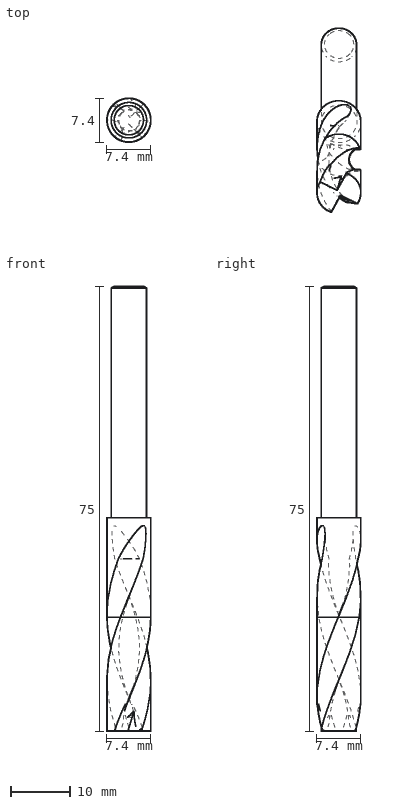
import cadquery as cq
import math

TOTAL_LENGTH = 75.0
TOOL_DIAMETER = 7.4
SHANK_DIAMETER = 6.0
SHOULDER_HEIGHT = 36.0
JOINT_HEIGHT = 19.2
CHAMFER_HEIGHT = 0.3
CHAMFER_WIDTH = 0.5

FLUTE_COUNT = 2
FLUTE_START_ANGLE = -90.0
FLUTE_PITCH = 56.25
FLUTE_RADIUS = 2.3
FLUTE_CENTRE_DISTANCE = 4.05
FLUTE_TOP = 29.1
RUNOUT_TOP = 34.65
RUNOUT_SECTIONS = 5

GASH_HEIGHT = 4.5
GASH_SLOPE = 0.42
GASH_ANGLE = 45.0
GASH_CORNER = (-0.15, -0.5)
GASH_LENGTH = 6.0

TOOL_RADIUS = TOOL_DIAMETER / 2
TURN = 360.0


def flute_angle(height):
    """Direction of the first flute at the given height, degrees."""
    return FLUTE_START_ANGLE + TURN * height / FLUTE_PITCH


def polar(distance, angle):
    """Plan position at a distance and direction from the tool axis."""
    return distance * math.cos(math.radians(angle)), distance * math.sin(math.radians(angle))


def helical_cutter():
    """Constant-depth flute: a circle twisted about the tool axis."""
    return (
        cq.Workplane("XY")
        .moveTo(*polar(FLUTE_CENTRE_DISTANCE, FLUTE_START_ANGLE))
        .circle(FLUTE_RADIUS)
        .twistExtrude(FLUTE_TOP, TURN * FLUTE_TOP / FLUTE_PITCH)
    )


def runout_cutter():
    """Continuation of the flute that follows the helix while moving out of the tool."""
    end_distance = TOOL_RADIUS + FLUTE_RADIUS
    sections = []
    for index in range(RUNOUT_SECTIONS):
        fraction = index / (RUNOUT_SECTIONS - 1)
        height = FLUTE_TOP + fraction * (RUNOUT_TOP - FLUTE_TOP)
        distance = FLUTE_CENTRE_DISTANCE + fraction * (end_distance - FLUTE_CENTRE_DISTANCE)
        x, y = polar(distance, flute_angle(height))
        sections.append(cq.Wire.makeCircle(FLUTE_RADIUS, cq.Vector(x, y, height), cq.Vector(0, 0, 1)))
    return cq.Workplane(cq.Solid.makeLoft(sections))


def gash_cutter():
    """Wedge whose sloping face leans outward with height and ends at the inner corner."""
    run = GASH_HEIGHT * GASH_SLOPE
    along = polar(1.0, GASH_ANGLE)
    plane = cq.Plane(
        origin=(*GASH_CORNER, 0),
        xDir=(along[1], -along[0], 0),
        normal=(-along[0], -along[1], 0),
    )
    return (
        cq.Workplane(plane)
        .polyline([(0, 0), (run, GASH_HEIGHT), (TOOL_DIAMETER, GASH_HEIGHT), (TOOL_DIAMETER, 0)])
        .close()
        .extrude(GASH_LENGTH)
    )


def cut_around(body, cutter):
    """Cut the same shape once for every flute, evenly spaced about the axis."""
    for index in range(FLUTE_COUNT):
        body = body.cut(cutter.rotate((0, 0, 0), (0, 0, 1), index * TURN / FLUTE_COUNT))
    return body


def make_cutting_tip():
    tip = cq.Workplane("XY").circle(TOOL_RADIUS).extrude(JOINT_HEIGHT)
    tip = cut_around(tip, helical_cutter())
    return cut_around(tip, gash_cutter())


def make_shank_body():
    shank_radius = SHANK_DIAMETER / 2
    body = (
        cq.Workplane("XZ")
        .moveTo(0, JOINT_HEIGHT)
        .lineTo(TOOL_RADIUS, JOINT_HEIGHT)
        .lineTo(TOOL_RADIUS, SHOULDER_HEIGHT)
        .lineTo(shank_radius, SHOULDER_HEIGHT)
        .lineTo(shank_radius, TOTAL_LENGTH - CHAMFER_HEIGHT)
        .lineTo(shank_radius - CHAMFER_WIDTH, TOTAL_LENGTH)
        .lineTo(0, TOTAL_LENGTH)
        .close()
        .revolve(TURN, (0, 0, 0), (0, 1, 0))
    )
    body = cut_around(body, helical_cutter())
    return cut_around(body, runout_cutter())


cutting_tip = make_cutting_tip()
shank_body = make_shank_body()

result = cq.Compound.makeCompound([*cutting_tip.vals(), *shank_body.vals()])